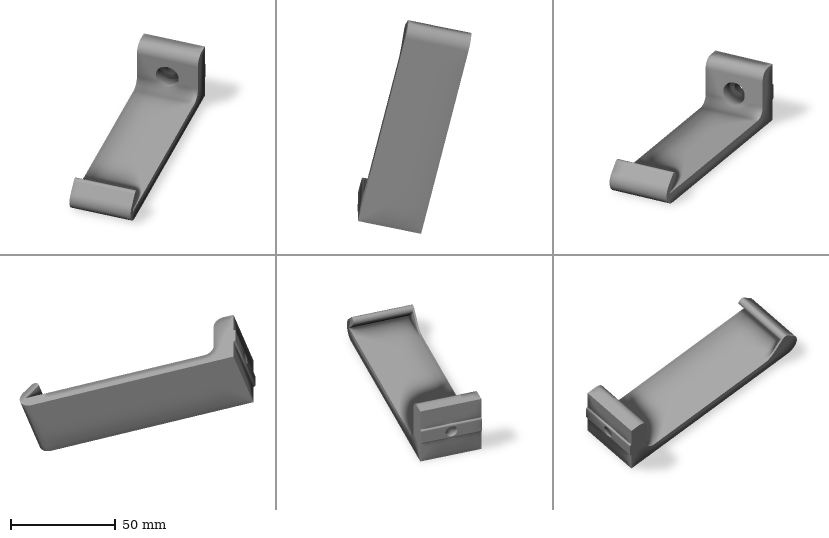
import cadquery as cq
import math

width = 31.0
total_length = 109.0
height = 30.0
key_depth = 1.0
arm_length = total_length - key_depth

wall_thickness = 10.0
floor_thickness = 6.0
bend_radius = 5.0

key_height = 8.2
key_edge_radius = 0.9
mid_height = height / 2

nose_radius = 6.0
lip_radius = 2.0
lip_center_z = 13.3
ramp_radius = 10.0
rib_width = 1.0

screw_diameter = 6.0
head_diameter = 11.5
head_depth = 6.0

diagonal = math.sqrt(0.5)
end_y = -arm_length
nose_center = (end_y + nose_radius, nose_radius)
lip_center_y = nose_center[0] + lip_center_z - nose_radius - (nose_radius - lip_radius) / diagonal
lip_center = (lip_center_y, lip_center_z)


def point_on_circle(center, radius, angle):
    """Point at an angle in degrees, measured from +Y toward +Z."""
    turn = math.radians(angle)
    return center[0] + radius * math.cos(turn), center[1] + radius * math.sin(turn)


def extrude_across(profile, depth):
    """Extrude a closed YZ profile along +X from the left side of the part."""
    return profile.close().extrude(depth)


def side_plane():
    """YZ sketch plane on the left side of the part."""
    return cq.Workplane("YZ", origin=(-width / 2, 0, 0))


def make_body():
    """L-shaped arm with a rounded nose and a lip leaning back over the floor."""
    lip_inner_edge = point_on_circle(lip_center, lip_radius, -45)
    lip_foot_y = lip_inner_edge[0] - (lip_inner_edge[1] - floor_thickness)
    profile = (
        side_plane()
        .moveTo(0, 0)
        .lineTo(0, height)
        .lineTo(bend_radius - wall_thickness, height)
        .radiusArc((-wall_thickness, height - bend_radius), -bend_radius)
        .lineTo(-wall_thickness, floor_thickness + bend_radius)
        .radiusArc((-wall_thickness - bend_radius, floor_thickness), bend_radius)
        .lineTo(lip_foot_y, floor_thickness)
        .lineTo(*lip_inner_edge)
        .threePointArc(
            point_on_circle(lip_center, lip_radius, 45),
            point_on_circle(lip_center, lip_radius, 135),
        )
        .lineTo(*point_on_circle(nose_center, nose_radius, 135))
        .threePointArc(
            point_on_circle(nose_center, nose_radius, 202.5),
            point_on_circle(nose_center, nose_radius, 270),
        )
    )
    return extrude_across(profile, width)


def make_ramp_rib():
    """Thin rib on the left side, filling the hollow under the lip with a ramp up from the floor."""
    slope_top = point_on_circle(lip_center, lip_radius, 45)
    slope_foot_y = slope_top[0] + slope_top[1] - floor_thickness
    ramp_center = (
        slope_foot_y + ramp_radius * math.tan(math.pi / 8),
        floor_thickness + ramp_radius,
    )
    profile = (
        side_plane()
        .moveTo(ramp_center[0], floor_thickness)
        .threePointArc(
            point_on_circle(ramp_center, ramp_radius, 247.5),
            point_on_circle(ramp_center, ramp_radius, 225),
        )
        .lineTo(*slope_top)
        .lineTo(*point_on_circle(lip_center, lip_radius, 135))
        .lineTo(*point_on_circle(nose_center, nose_radius, 135))
        .lineTo(*point_on_circle(nose_center, nose_radius, 225))
        .lineTo(nose_center[0], 0)
        .lineTo(ramp_center[0], 0)
    )
    return extrude_across(profile, rib_width)


def make_key():
    """Full-width key with rounded crest edges, centred on the wall height."""
    block = cq.Workplane("XY", origin=(0, 0, mid_height)).box(
        width, 2 * key_depth, key_height
    )
    return block.edges("|X and >Y").fillet(key_edge_radius)


def make_screw_hole():
    """Through hole with its counterbore open to the inner side of the wall."""
    pocket_start = -wall_thickness - bend_radius
    plane = cq.Workplane("XZ", origin=(0, pocket_start, mid_height))
    head = plane.circle(head_diameter / 2).extrude(-(bend_radius + head_depth))
    shank = plane.circle(screw_diameter / 2).extrude(-(bend_radius + wall_thickness + key_depth))
    return head.union(shank)


result = make_body().union(make_ramp_rib()).union(make_key()).cut(make_screw_hole())